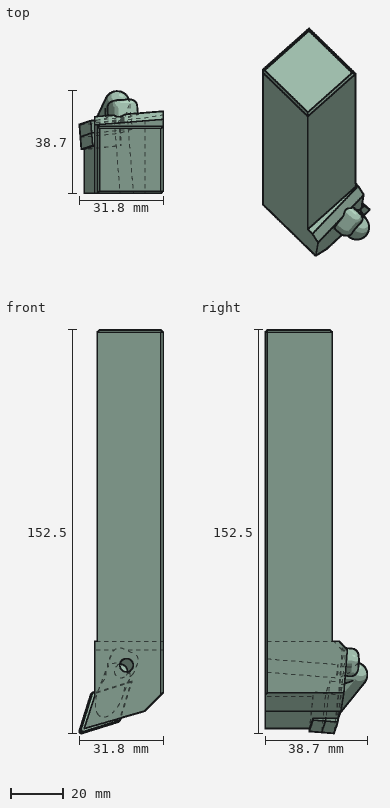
import cadquery as cq
import math

SHANK_WIDTH = 25.0
SHANK_DEPTH = 25.5
SHANK_TOP = 152.4
END_CHAMFER = 0.9
EDGE_CHAMFER = 0.9

HEAD_STEP = 0.9
HEAD_TOP = 34.9
HEAD_DEPTH = 36.5
RELIEF_TOP = 14.0
POINT_X = -4.9
POINT_Z = 1.8
HEEL_X = 18.0
HEEL_Z = 8.4
HEAD_BACK_CHAMFER = 3.4

TIP_X = -7.2
TIP_Y = 25.9
TIP_Z = -0.5
RAKE = 6.5
POINT_ANGLE = 55.0
INSERT_SIDE = 16.0
INSERT_THICKNESS = 4.7
NOSE_RADIUS = 0.81

CLAMP_X = 1.5
CLAMP_Z = 6.9
CLAMP_TURN = 22.5
CLAMP_WIDTH = 9.5
CROWN_REACH = 17.0
CROWN_HEIGHT = 9.8
FINGER_SLOPE = 31.0
FINGER_LENGTH = 21.3
BOSS_END = 26.5
BOSS_WIDTH = 10.4
BOSS_SINK = 3.8
BOSS_HEIGHT = 5.8
BOSS_CORNER = 2.9
BOSS_ROUND = 2.7

SCREW_X = 11.1
SCREW_Z = 25.8
SCREW_DIAMETER = 5.0
SCREW_DEPTH = 27.5

SEAT_SPAN = 2 * SHANK_TOP

diagonal = math.sqrt(0.5)
bisector = cq.Vector(diagonal, 0, diagonal)
rake = math.radians(RAKE)
seat_normal = cq.Vector(0, 1, 0) * math.cos(rake) - bisector * math.sin(rake)
seat_along = bisector * math.cos(rake) + cq.Vector(0, 1, 0) * math.sin(rake)
seat = cq.Plane(origin=(TIP_X, TIP_Y, TIP_Z), xDir=seat_along, normal=seat_normal)


def seat_point(x, z):
    """Point of the seat plane at the given X and Z."""
    slope = math.tan(rake) * diagonal
    return cq.Vector(x, TIP_Y + slope * (x - TIP_X + z - TIP_Z), z)


def make_rhombus(depth):
    """Rhombic plate that goes down from the seat plane, with a rounded cutting corner."""
    half_angle = math.radians(POINT_ANGLE / 2)
    half_length = INSERT_SIDE * math.cos(half_angle)
    half_width = INSERT_SIDE * math.sin(half_angle)
    corners = [(0, 0), (half_length, half_width), (2 * half_length, 0), (half_length, -half_width)]
    plate = cq.Workplane(seat).polyline(corners).close().extrude(-depth)
    nose = cq.selectors.NearestToPointSelector((seat.origin - seat_normal * (depth / 2)).toTuple())
    return plate.edges(nose).fillet(NOSE_RADIUS)


def make_shank():
    """Bar above the head, chamfered around its top end."""
    shank = cq.Workplane("XY", origin=(0, 0, HEAD_TOP)).box(
        SHANK_WIDTH, SHANK_DEPTH, SHANK_TOP - HEAD_TOP, centered=False
    )
    return shank.faces(">Z").chamfer(END_CHAMFER)


def make_head():
    """Head outline extruded to the back and cut off along the seat plane."""
    outline = [
        (-HEAD_STEP, HEAD_TOP),
        (-HEAD_STEP, RELIEF_TOP),
        (POINT_X, POINT_Z),
        (HEEL_X, HEEL_Z),
        (SHANK_WIDTH, HEEL_Z + SHANK_WIDTH - HEEL_X),
        (SHANK_WIDTH, HEAD_TOP),
    ]
    head = cq.Workplane("XZ").polyline(outline).close().extrude(-HEAD_DEPTH)
    above_seat = cq.Workplane(seat).rect(SEAT_SPAN, SEAT_SPAN).extrude(HEAD_DEPTH)
    head = head.cut(above_seat)
    return head.faces(">Z").edges(">Y").chamfer(HEAD_BACK_CHAMFER)


def make_edge_cut():
    """Wedge that chamfers the front right edge along the whole bar."""
    wedge = [(SHANK_WIDTH - EDGE_CHAMFER, 0), (SHANK_WIDTH, 0), (SHANK_WIDTH, EDGE_CHAMFER)]
    return cq.Workplane("XY").polyline(wedge).close().extrude(SHANK_TOP)


def make_clamp():
    """Domed post and sloping finger on the seat plane, and a rear boss rooted in the head."""
    base = cq.Plane(origin=seat_point(CLAMP_X, CLAMP_Z), xDir=seat_along, normal=seat_normal)
    base = base.rotated((0, 0, -CLAMP_TURN))
    radius = CLAMP_WIDTH / 2
    crown_center = base.toWorldCoords((CROWN_REACH, 0, CROWN_HEIGHT - radius))

    slope = math.radians(FINGER_SLOPE)
    down_slope = base.xDir * -math.cos(slope) - seat_normal * math.sin(slope)
    post = cq.Workplane(base).center(CROWN_REACH, 0).circle(radius).extrude(CROWN_HEIGHT - radius)
    crown = cq.Workplane(origin=crown_center.toTuple()).sphere(radius)
    finger = (
        cq.Workplane(cq.Plane(origin=crown_center, xDir=base.yDir, normal=down_slope))
        .circle(radius)
        .extrude(FINGER_LENGTH)
    )
    boss = (
        cq.Workplane(base)
        .workplane(offset=-BOSS_SINK)
        .center((CROWN_REACH + BOSS_END) / 2, 0)
        .rect(BOSS_END - CROWN_REACH, BOSS_WIDTH)
        .extrude(BOSS_SINK + BOSS_HEIGHT)
        .edges(cq.selectors.ParallelDirSelector(seat_normal))
        .fillet(BOSS_CORNER)
        .faces(cq.selectors.DirectionMinMaxSelector(seat_normal, True))
        .edges()
        .fillet(BOSS_ROUND)
    )
    below_seat = cq.Workplane(seat).rect(SEAT_SPAN, SEAT_SPAN).extrude(-HEAD_DEPTH)
    return post.union(crown).union(finger).cut(below_seat).union(boss)


def make_screw_hole():
    """Blind hole square to the seat plane, starting outside the front face."""
    mouth = cq.Plane(origin=(SCREW_X, 0, SCREW_Z), xDir=seat_along, normal=seat_normal)
    return (
        cq.Workplane(mouth)
        .workplane(offset=-SCREW_DIAMETER)
        .circle(SCREW_DIAMETER / 2)
        .extrude(SCREW_DIAMETER + SCREW_DEPTH)
    )


insert = make_rhombus(INSERT_THICKNESS)
insert_and_shim = make_rhombus(2 * INSERT_THICKNESS)

holder = make_shank().union(make_head()).cut(make_edge_cut())
holder = holder.union(make_clamp()).union(insert_and_shim).cut(make_screw_hole()).cut(insert)

result = cq.Compound.makeCompound([holder.solids().val(), insert.solids().val()])